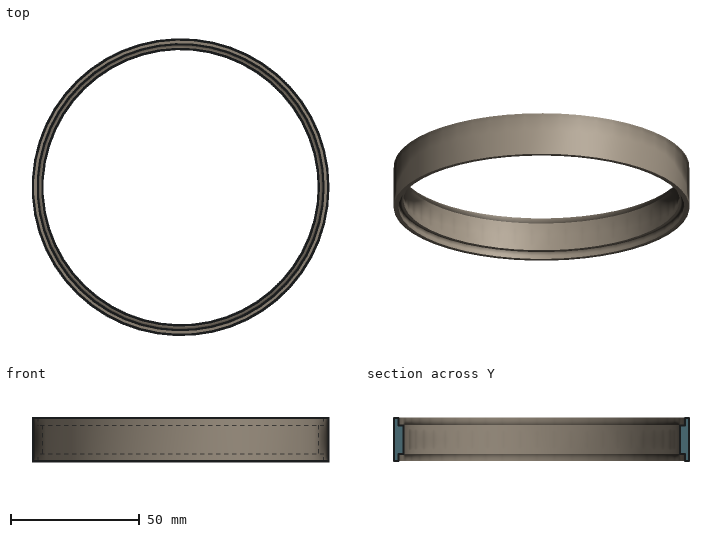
import cadquery as cq

outer_diameter = 115.0
height = 16.9
bore_diameter = 107.4
recess_diameter = 111.2
recess_depth = 2.9


def recess(base_height):
    """Disc that widens the bore, starting at the given height."""
    return (
        cq.Workplane("XY")
        .workplane(offset=base_height)
        .circle(recess_diameter / 2)
        .extrude(recess_depth)
    )


ring = cq.Workplane("XY").circle(outer_diameter / 2).circle(bore_diameter / 2).extrude(height)

for base_height in (0, height - recess_depth):
    ring = ring.cut(recess(base_height))

result = ring